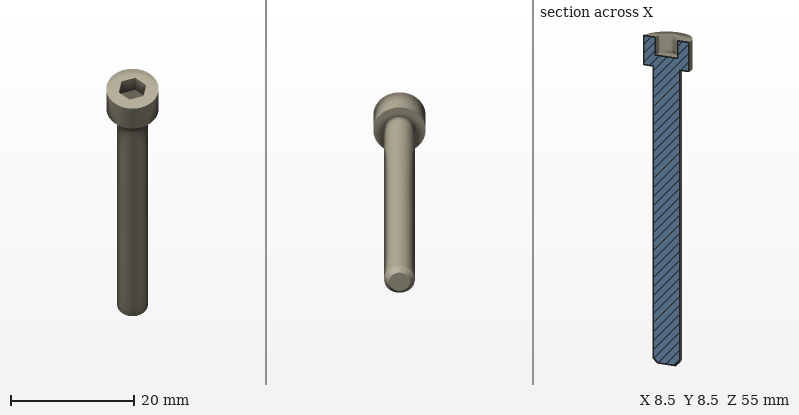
import cadquery as cq
import math

head_diameter = 8.5
head_height = 5.0
shank_diameter = 5.0
under_head_length = 50.0
thread_length = 22.0
tip_chamfer = 0.8
hex_sides = 6
hex_across_flats = 4.08
hex_depth = 3.0

plain_length = under_head_length - thread_length
hex_across_corners = hex_across_flats / math.cos(math.pi / hex_sides)


def make_head():
    """Cylindrical head above the bearing plane."""
    return cq.Workplane("XY").circle(head_diameter / 2).extrude(head_height)


def make_plain_shank():
    """Unthreaded length directly below the head."""
    return cq.Workplane("XY").circle(shank_diameter / 2).extrude(-plain_length)


def make_threaded_end():
    """Threaded length as a plain cylinder with a chamfered tip."""
    thread_start = cq.Workplane("XY").workplane(offset=-plain_length)
    cylinder = thread_start.circle(shank_diameter / 2).extrude(-thread_length)
    return cylinder.faces("<Z").chamfer(tip_chamfer)


def make_hex_socket():
    """Hexagonal drive socket with two corners in the XZ plane."""
    head_top = cq.Workplane("XY").workplane(offset=head_height)
    return head_top.polygon(hex_sides, hex_across_corners).extrude(-hex_depth)


shank = make_plain_shank().union(make_threaded_end(), clean=False)
screw = make_head().union(shank, clean=False)
result = screw.cut(make_hex_socket(), clean=False)